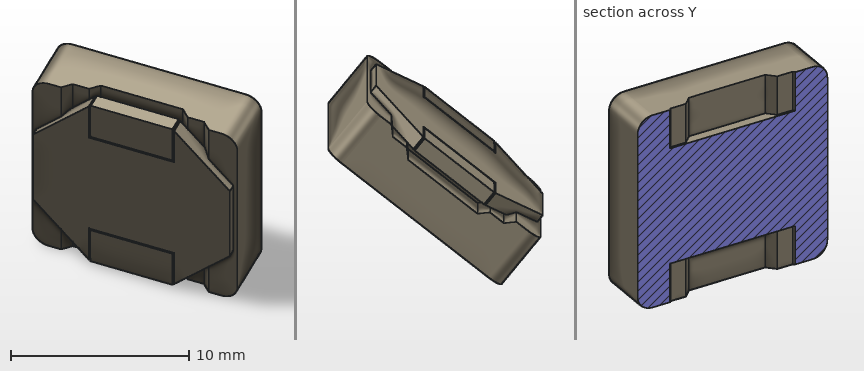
import cadquery as cq

housing_side = 12.5
housing_depth = 3.5
corner_radius = 1

channel_length = 2.5
step_depth = 0.5
channel_half_width = 4.5
inner_channel_half_width = 3

base_half_side = 6
base_corner = 2.5
base_protrusion = 0.5
base_thickness = 0.9

pad_half_width = base_corner
pad_gap = 0.1
pad_pocket_depth = 0.1
pocket_inner_z = 3.5

base_front = -base_protrusion
base_back = base_front + base_thickness
base_end_z = base_half_side - pad_gap


def make_housing():
    block = cq.Workplane("XY").box(
        housing_side, housing_depth, housing_side, centered=(True, False, True)
    )
    return block.edges("|Y").fillet(corner_radius)


def make_channel():
    """Two-level channel reaching inward from the upper end, stopping behind the base plate."""
    right_side = [
        (channel_half_width, 0),
        (channel_half_width - step_depth, step_depth),
        (inner_channel_half_width, step_depth),
        (inner_channel_half_width - step_depth, 2 * step_depth),
    ]
    left_side = [(-x, y) for x, y in reversed(right_side)]
    inner_end_z = housing_side / 2 - channel_length
    profile = cq.Workplane("XY", origin=(0, 0, inner_end_z)).polyline(right_side + left_side).close()
    return profile.extrude(channel_length)


def block_between(half_width, y_start, y_end, z_start, z_end):
    """Block centred on X between the given Y and Z limits."""
    return cq.Workplane("XY").box(
        2 * half_width, y_end - y_start, z_end - z_start, centered=(True, False, False)
    ).translate((0, y_start, z_start))


def make_base():
    """Octagon with its upper and lower ends cut back by the pad wall thickness."""
    end_corner = base_corner + pad_gap
    upper = [
        (base_half_side, base_corner),
        (end_corner, base_end_z),
        (-end_corner, base_end_z),
        (-base_half_side, base_corner),
    ]
    lower = [(-x, -z) for x, z in upper]
    outline = cq.Workplane("XZ", origin=(0, base_back, 0)).polyline(upper + lower).close()
    return outline.extrude(base_thickness)


def make_pocket():
    return block_between(
        pad_half_width + pad_gap, base_front, base_front + pad_pocket_depth,
        pocket_inner_z, base_half_side,
    )


def make_pad():
    """L-shaped pad: a front face in the pocket and a wall over the base end."""
    face = block_between(
        pad_half_width, base_front, base_front + pad_pocket_depth,
        pocket_inner_z + pad_gap, base_half_side,
    )
    end_wall = block_between(pad_half_width, base_front, base_back, base_end_z, base_half_side)
    return face.union(end_wall)


def at_end(feature, angle):
    """Turn an upper-end feature about Y to place it at either end."""
    return feature.rotate((0, 0, 0), (0, 1, 0), angle)


housing = make_housing()
base = make_base()
for end_angle in (0, 180):
    housing = housing.cut(at_end(make_channel(), end_angle))
    base = base.cut(at_end(make_pocket(), end_angle))
    base = base.union(at_end(make_pad(), end_angle))

result = housing.union(base)